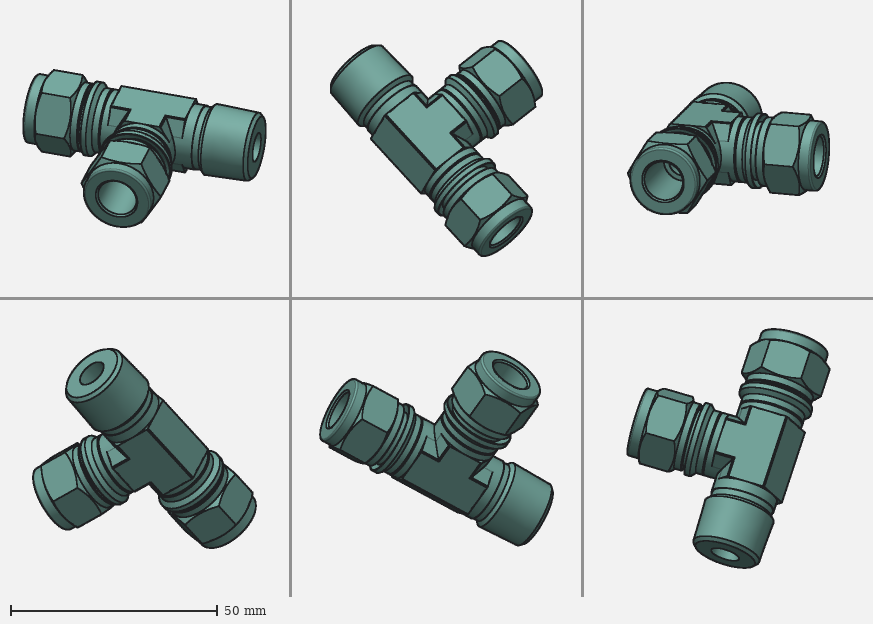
import cadquery as cq
import math


BORE_DIAMETER = 7.1
HEXAGON_HALF_SECTOR = 30.0

BODY_FLATS = 15.9
BODY_REACH = 9.45
BODY_EDGE_CHAMFER = 0.2

TUBE_ARM_REACH = 30.55
SEAM_DIAMETER = 15.5
SEAM_START = 11.2
SEAM_END = 11.55
FLANGE_DIAMETER = 18.25
FLANGE_CONE_START = 13.25
FLANGE_START = 14.4
FLANGE_END = 15.75
FLANGE_RECESS_DIAMETER = 17.85
FLANGE_RECESS_DEPTH = 1.7
CORE_DIAMETER = 13.05
GAP_DIAMETER = 14.25
GAP_START = 15.05
GAP_END = 16.7
INNER_COLLAR_DIAMETER = 16.8
INNER_COLLAR_CHAMFER = 0.15
OUTER_COLLAR_DIAMETER = 17.0
OUTER_COLLAR_ROUND = 0.45

NUT_FLATS = 17.5
NUT_START = 18.6
NUT_END = 27.65
NUT_CHAMFER_ANGLE = 30.0

SOCKET_DIAMETER = 9.7
SOCKET_MOUTH_DIAMETER = 10.6
SOCKET_DEPTH = 16.75

MALE_REACH = 26.25
MALE_NECK_START = 12.1
MALE_NECK_DIAMETER = 15.5
MALE_CONE_START = 13.75
MALE_TAPER_START = 14.7
MALE_TAPER_END = 25.35
MALE_TIP_TAPER_DIAMETER = 16.9
MALE_TAPER_RATIO = 1 / 16
MALE_TIP_DIAMETER = 15.2


def turned(profile):
    """Solid of revolution about X from (x, diameter) stations, closed along the axis."""
    outline = [(x, diameter / 2) for x, diameter in profile]
    outline = [(profile[0][0], 0)] + outline + [(profile[-1][0], 0)]
    return cq.Workplane("XY").polyline(outline).close().revolve(360, (0, 0, 0), (1, 0, 0))


def mirrored_to_left(profile):
    """Turn (reach, diameter) stations into stations on the -X side."""
    return [(-reach, diameter) for reach, diameter in profile]


def to_branch(arm):
    """Swing an arm from -X round to -Y."""
    return arm.rotate((0, 0, 0), (0, 0, 1), 90)


def body_prism(start, length, full_corner):
    """Hexagonal prism along X with flats on +-Z.

    The corner on -Y is cut back to where the flats touch the round neck. The +Y corner
    is kept only when full_corner is true.
    """
    apothem = BODY_FLATS / 2
    corner = apothem / math.cos(math.radians(HEXAGON_HALF_SECTOR))
    tangent_y = apothem * math.cos(math.radians(HEXAGON_HALF_SECTOR))
    back_y = corner if full_corner else tangent_y
    prism = (
        cq.Workplane("YZ", origin=(start, 0, 0))
        .polygon(6, 2 * corner)
        .extrude(length)
        .edges("|X and (>Z or <Z)")
        .chamfer(BODY_EDGE_CHAMFER)
    )
    keep = (
        cq.Workplane("YZ", origin=(start, 0, 0))
        .rect(back_y + tangent_y, BODY_FLATS)
        .extrude(length)
        .translate((0, (back_y - tangent_y) / 2, 0))
    )
    return prism.intersect(keep)


def make_body():
    """Tee-shaped body: the run prism joined by the branch prism."""
    run = body_prism(-BODY_REACH, 2 * BODY_REACH, True)
    branch = to_branch(body_prism(-BODY_REACH, BODY_REACH, False))
    return run.union(branch)


def make_nut():
    """Hexagon on the -X arm with a conical chamfer at both ends."""
    corner_diameter = NUT_FLATS / math.cos(math.radians(HEXAGON_HALF_SECTOR))
    slope = math.tan(math.radians(NUT_CHAMFER_ANGLE))
    start_bevel = (corner_diameter - INNER_COLLAR_DIAMETER) / 2 * slope
    end_bevel = (corner_diameter - OUTER_COLLAR_DIAMETER) / 2 * slope
    hexagon = (
        cq.Workplane("YZ", origin=(-NUT_END, 0, 0))
        .polygon(6, corner_diameter)
        .extrude(NUT_END - NUT_START)
    )
    envelope = turned(mirrored_to_left([
        (NUT_START, INNER_COLLAR_DIAMETER),
        (NUT_START + start_bevel, corner_diameter),
        (NUT_END - end_bevel, corner_diameter),
        (NUT_END, OUTER_COLLAR_DIAMETER),
    ]))
    return hexagon.intersect(envelope)


def make_tube_arm():
    """Tube connection on the -X side, without its socket."""
    nut_middle = (NUT_START + NUT_END) / 2
    recess_bottom = FLANGE_END - FLANGE_RECESS_DEPTH
    turned_part = turned(mirrored_to_left([
        (0, BODY_FLATS),
        (SEAM_START, BODY_FLATS),
        (SEAM_START, SEAM_DIAMETER),
        (SEAM_END, SEAM_DIAMETER),
        (SEAM_END, BODY_FLATS),
        (FLANGE_CONE_START, BODY_FLATS),
        (FLANGE_START, FLANGE_DIAMETER),
        (FLANGE_END, FLANGE_DIAMETER),
        (FLANGE_END, FLANGE_RECESS_DIAMETER),
        (recess_bottom, CORE_DIAMETER),
        (GAP_START, CORE_DIAMETER),
        (GAP_START, GAP_DIAMETER),
        (GAP_END, GAP_DIAMETER),
        (GAP_END, INNER_COLLAR_DIAMETER - 2 * INNER_COLLAR_CHAMFER),
        (GAP_END + INNER_COLLAR_CHAMFER, INNER_COLLAR_DIAMETER),
        (nut_middle, INNER_COLLAR_DIAMETER),
        (nut_middle, OUTER_COLLAR_DIAMETER),
        (TUBE_ARM_REACH, OUTER_COLLAR_DIAMETER),
    ]))
    turned_part = turned_part.faces("<X").edges().fillet(OUTER_COLLAR_ROUND)
    return turned_part.union(make_nut())


def make_tube_bore():
    """Bore and countersunk socket of the -X arm, from the crossing outwards."""
    socket_start = TUBE_ARM_REACH - SOCKET_DEPTH
    countersink_depth = (SOCKET_MOUTH_DIAMETER - SOCKET_DIAMETER) / 2
    return turned(mirrored_to_left([
        (0, BORE_DIAMETER),
        (socket_start, BORE_DIAMETER),
        (socket_start, SOCKET_DIAMETER),
        (TUBE_ARM_REACH - countersink_depth, SOCKET_DIAMETER),
        (TUBE_ARM_REACH, SOCKET_MOUTH_DIAMETER),
    ]))


def make_male_arm():
    """Tapered connection on the +X side."""
    taper_length = MALE_TAPER_END - MALE_TAPER_START
    taper_start_diameter = MALE_TIP_TAPER_DIAMETER + taper_length * MALE_TAPER_RATIO
    return turned([
        (0, BODY_FLATS),
        (MALE_NECK_START, BODY_FLATS),
        (MALE_NECK_START, MALE_NECK_DIAMETER),
        (MALE_CONE_START, MALE_NECK_DIAMETER),
        (MALE_TAPER_START, taper_start_diameter),
        (MALE_TAPER_END, MALE_TIP_TAPER_DIAMETER),
        (MALE_REACH, MALE_TIP_DIAMETER),
    ])


tube_arm = make_tube_arm()
tube_bore = make_tube_bore()
male_bore = turned([(0, BORE_DIAMETER), (MALE_REACH, BORE_DIAMETER)])

solid_tee = make_body().union(make_male_arm()).union(tube_arm).union(to_branch(tube_arm))
result = solid_tee.cut(male_bore).cut(tube_bore).cut(to_branch(tube_bore))